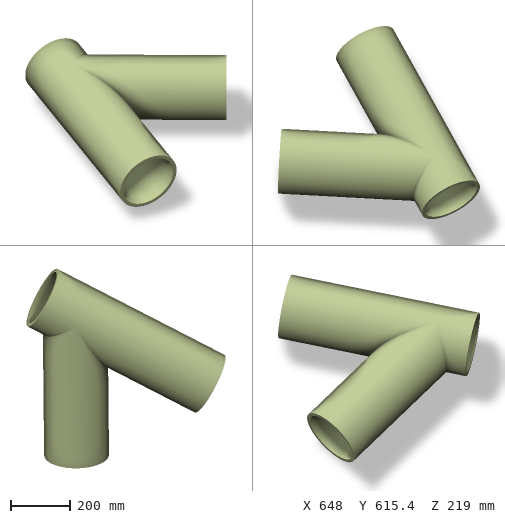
import cadquery as cq
import math

run_length = 648.0
outer_diameter = 219.0
bore_diameter = 193.5
branch_angle = 60.0
branch_length = 521.0
branch_position = 127.0

branch_direction = cq.Vector(
    math.cos(math.radians(branch_angle)),
    math.sin(math.radians(branch_angle)),
    0,
)


def run_cylinder(diameter):
    """Cylinder along the full straight run."""
    return cq.Workplane("YZ").circle(diameter / 2).extrude(run_length)


def branch_cylinder(diameter):
    """Cylinder from the crossing of the axes to the branch end."""
    branch_plane = cq.Plane(
        origin=(branch_position, 0, 0),
        xDir=(0, 0, 1),
        normal=branch_direction,
    )
    return cq.Workplane(branch_plane).circle(diameter / 2).extrude(branch_length)


outer_body = run_cylinder(outer_diameter).union(branch_cylinder(outer_diameter))
result = outer_body.cut(run_cylinder(bore_diameter)).cut(branch_cylinder(bore_diameter))